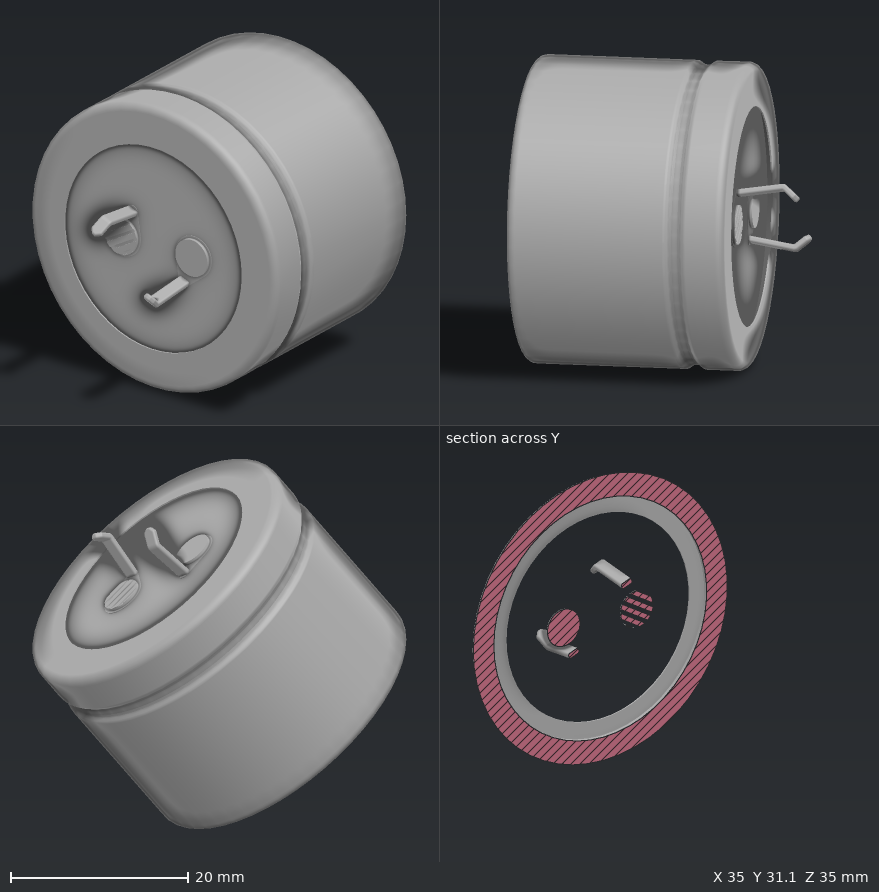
import cadquery as cq
import math

CAN_DIAMETER = 34.95
CAN_LENGTH = 25.0
END_FILLET = 0.98

GROOVE_CENTER_Y = 5.7
GROOVE_TOP_WIDTH = 2.3
GROOVE_BOTTOM_WIDTH = 1.0
GROOVE_DEPTH = 0.5
GROOVE_FILLET = 0.5

LIP_DIAMETER = 25.0
LIP_THICKNESS = 0.17
DISK_DIAMETER = 29.0
DISK_DEPTH = 1.0

TERMINAL_PITCH = 10.0
TERMINAL_ANGLE = 22.0
PLATE_DIAMETER = 5.1
PLATE_THICKNESS = 0.07
RIVET_DIAMETER = 4.5
RIVET_HEIGHT = 0.5

PIN_WIDTH = 1.5
PIN_THICKNESS = 0.7
PIN_BEND_FILLET = 0.7
PIN_EDGE_FILLET = 0.25
PIN_TIP_CHAMFER = 0.52
PIN_OVERHANG = 6.25
PIN_BASE_REACH = 3.55
PIN_BEND_REACH = 4.47
PIN_BEND_Y = -4.37
PIN_TIP_SLANT = 41.0

HATCH_PITCH = 1.0
HATCH_WIDTH = 0.35
HATCH_DEPTH = 0.1
HATCH_ANGLE = 30.0
HATCH_SHIFT = 0.1
HATCH_SIDE_COUNT = 2


def facing_front(y):
    """Workplane at the given Y that looks out of the terminal end; local x is X, local y is Z."""
    return cq.Workplane("XZ", origin=(0, y, 0))


def make_can():
    radius = CAN_DIAMETER / 2
    groove_radius = radius - GROOVE_DEPTH
    top_half = GROOVE_TOP_WIDTH / 2
    bottom_half = GROOVE_BOTTOM_WIDTH / 2
    can = (
        cq.Workplane("XY")
        .moveTo(0, 0)
        .lineTo(radius, 0)
        .lineTo(radius, GROOVE_CENTER_Y - top_half)
        .lineTo(groove_radius, GROOVE_CENTER_Y - bottom_half)
        .lineTo(groove_radius, GROOVE_CENTER_Y + bottom_half)
        .lineTo(radius, GROOVE_CENTER_Y + top_half)
        .lineTo(radius, CAN_LENGTH)
        .lineTo(0, CAN_LENGTH)
        .close()
        .revolve(360, (0, 0, 0), (0, 1, 0))
    )
    groove_box = cq.selectors.BoxSelector(
        (-0.35, GROOVE_CENTER_Y - GROOVE_TOP_WIDTH, -0.35),
        (0.35, GROOVE_CENTER_Y + GROOVE_TOP_WIDTH, 0.35),
    )
    can = can.edges(groove_box).fillet(GROOVE_FILLET)
    can = can.faces("<Y or >Y").edges().fillet(END_FILLET)
    opening = facing_front(DISK_DEPTH).circle(LIP_DIAMETER / 2).extrude(DISK_DEPTH)
    undercut = facing_front(DISK_DEPTH).circle(DISK_DIAMETER / 2).extrude(DISK_DEPTH - LIP_THICKNESS)
    return can.cut(opening).cut(undercut)


def make_plate():
    """Teardrop plate: a large circle and a small one at the pin, joined by tangents."""
    big = PLATE_DIAMETER / 2
    small = PIN_WIDTH / 2
    lean = math.asin((big - small) / PIN_BASE_REACH)
    side, rise = math.cos(lean), math.sin(lean)
    return (
        facing_front(DISK_DEPTH)
        .moveTo(big * side, big * rise)
        .lineTo(small * side, PIN_BASE_REACH + small * rise)
        .threePointArc((0, PIN_BASE_REACH + small), (-small * side, PIN_BASE_REACH + small * rise))
        .lineTo(-big * side, big * rise)
        .threePointArc((0, -big), (big * side, big * rise))
        .close()
        .extrude(PLATE_THICKNESS)
    )


def make_pin():
    slant = math.radians(PIN_TIP_SLANT)
    tip_y = -PIN_OVERHANG + PIN_THICKNESS / 2 * math.sin(slant)
    tip_reach = PIN_BEND_REACH - (PIN_BEND_Y - tip_y) * math.tan(slant)
    root_y = DISK_DEPTH + PIN_THICKNESS / 2
    path = (
        cq.Workplane("YZ")
        .moveTo(root_y, PIN_BASE_REACH)
        .lineTo(PIN_BEND_Y, PIN_BEND_REACH)
        .lineTo(tip_y, tip_reach)
    )
    root_plane = cq.Plane(
        origin=(0, root_y, PIN_BASE_REACH),
        xDir=(1, 0, 0),
        normal=(0, PIN_BEND_Y - root_y, PIN_BEND_REACH - PIN_BASE_REACH),
    )
    pin = cq.Workplane(root_plane).rect(PIN_WIDTH, PIN_THICKNESS).sweep(path, transition="right")
    pin = pin.edges("|X and >Z").fillet(PIN_BEND_FILLET)
    pin = pin.faces("<Y").edges("not |X").chamfer(PIN_TIP_CHAMFER)
    return pin.edges().fillet(PIN_EDGE_FILLET)


def make_terminal():
    rivet = facing_front(DISK_DEPTH).circle(RIVET_DIAMETER / 2).extrude(RIVET_HEIGHT)
    return (
        make_plate()
        .union(rivet)
        .union(make_pin())
        .rotate((0, 0, 0), (0, 1, 0), TERMINAL_ANGLE)
        .translate((-TERMINAL_PITCH / 2, 0, 0))
    )


def make_hatching():
    rivet_top = DISK_DEPTH - RIVET_HEIGHT
    count = 2 * HATCH_SIDE_COUNT + 1
    grooves = (
        facing_front(rivet_top + HATCH_DEPTH)
        .center(0, HATCH_SHIFT)
        .rarray(0.35, HATCH_PITCH, 1, count)
        .rect(RIVET_DIAMETER, HATCH_WIDTH)
        .extrude(HATCH_DEPTH)
    )
    head = facing_front(rivet_top + HATCH_DEPTH).circle(RIVET_DIAMETER / 2).extrude(HATCH_DEPTH)
    return (
        grooves.intersect(head)
        .rotate((0, 0, 0), (0, 1, 0), -HATCH_ANGLE)
        .translate((-TERMINAL_PITCH / 2, 0, 0))
    )


terminal = make_terminal()
opposite_terminal = terminal.rotate((0, 0, 0), (0, 1, 0), 180)
result = make_can().union(terminal).union(opposite_terminal).cut(make_hatching())